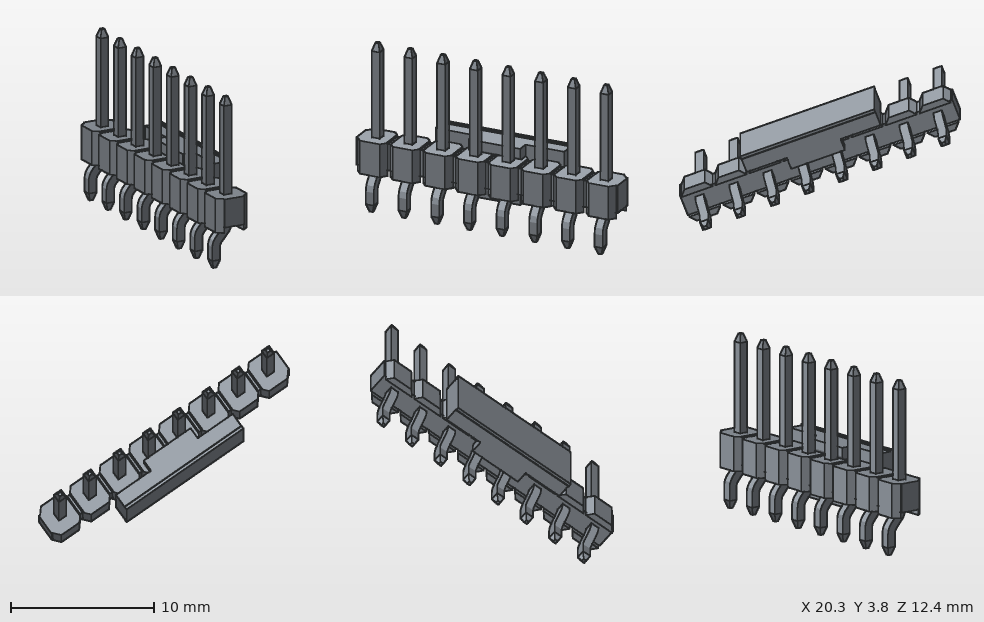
import cadquery as cq
import math

pin_count = 8
row_length = 20.32
pitch = row_length / pin_count
pin_positions = [(i - (pin_count - 1) / 2) * pitch for i in range(pin_count)]

tower_width = 2.34
housing_depth = 2.5
housing_height = 2.5
corner_length_x = 0.4
corner_length_y = 0.47
web_depth = housing_depth - 2 * corner_length_y
channel_height = 0.43
groove_top_width = 0.37
groove_floor_width = 0.2
groove_depth = 0.08

wire = 0.63
tip_length = 0.59
tip_end_width = 0.25
pin_top = housing_height + 7.1
pin_bottom = -2.8
leg_offset = (housing_depth - wire) / 2
bend_inner_radius = 0.5
bend_angle = 41.0
lower_bend_end = -1.25

cap_width = 10.0
cap_depth = 1.3
cap_height = 4.25
flange_height = 4.47
flange_thickness = 0.25
hook_width = 4.0
hook_reach = 0.87
hook_tip_radius = 0.25


def make_pin():
    """One pin centred on X = 0, bent towards -Y below the housing."""
    outer_radius = bend_inner_radius + wire
    angle = math.radians(bend_angle)
    half_angle = angle / 2
    bend_y = 1 - math.cos(angle)
    bend_z = math.sin(angle)
    slant_y = leg_offset - (bend_inner_radius + outer_radius) * bend_y
    slant_z = slant_y / math.tan(angle)

    half = wire / 2
    leg_y = -leg_offset
    lower_shoulder = pin_bottom + tip_length
    upper_shoulder = pin_top - tip_length
    upper_bend_start = (
        lower_bend_end + (bend_inner_radius + outer_radius) * bend_z + slant_z
    )

    def upper_bend(radius, turn):
        """Point on the upper bend, whose centre lies on the -Y side of the wire."""
        centre_y = -half - bend_inner_radius
        return (centre_y + radius * math.cos(turn), upper_bend_start - radius * math.sin(turn))

    def lower_bend(radius, turn):
        """Point on the lower bend, whose centre lies on the +Y side of the leg."""
        centre_y = leg_y + half + bend_inner_radius
        return (centre_y - radius * math.cos(turn), lower_bend_end + radius * math.sin(turn))

    shaft = (
        cq.Workplane("YZ")
        .moveTo(-half, upper_shoulder)
        .lineTo(*upper_bend(bend_inner_radius, 0))
        .threePointArc(upper_bend(bend_inner_radius, half_angle), upper_bend(bend_inner_radius, angle))
        .lineTo(*lower_bend(outer_radius, angle))
        .threePointArc(lower_bend(outer_radius, half_angle), lower_bend(outer_radius, 0))
        .lineTo(leg_y - half, lower_shoulder)
        .lineTo(leg_y + half, lower_shoulder)
        .lineTo(*lower_bend(bend_inner_radius, 0))
        .threePointArc(lower_bend(bend_inner_radius, half_angle), lower_bend(bend_inner_radius, angle))
        .lineTo(*upper_bend(outer_radius, angle))
        .threePointArc(upper_bend(outer_radius, half_angle), upper_bend(outer_radius, 0))
        .lineTo(half, upper_shoulder)
        .close()
        .extrude(half, both=True)
    )
    return shaft.union(tip(0, upper_shoulder, tip_length)).union(tip(leg_y, lower_shoulder, -tip_length))


def tip(y, shoulder_z, length):
    """Tapered square tip; a negative length points it downwards."""
    return (
        cq.Workplane("XY", origin=(0, y, shoulder_z))
        .rect(wire, wire)
        .workplane(offset=length)
        .rect(tip_end_width, tip_end_width)
        .loft(ruled=True)
    )


def make_housing():
    """Row of towers on a web, with a channel below and a square hole for every pin."""
    pin_points = [(x, 0) for x in pin_positions]
    body = cq.Workplane("XY").box(row_length, web_depth, housing_height, centered=(True, True, False))
    side_x = tower_width / 2
    face_y = housing_depth / 2
    flat_x = side_x - corner_length_x
    flat_y = face_y - corner_length_y
    tower = (
        cq.Workplane("XY")
        .polyline([
            (-flat_x, -face_y),
            (flat_x, -face_y),
            (side_x, -flat_y),
            (side_x, flat_y),
            (flat_x, face_y),
            (-flat_x, face_y),
            (-side_x, flat_y),
            (-side_x, -flat_y),
        ])
        .close()
        .extrude(housing_height)
    )
    for x in pin_positions:
        body = body.union(tower.translate((x, 0, 0)))

    channel = cq.Workplane("XY").box(row_length, web_depth, channel_height, centered=(True, True, False))
    body = body.cut(channel)

    groove = (
        cq.Workplane("XZ")
        .polyline([
            (-groove_top_width / 2, housing_height),
            (-groove_floor_width / 2, housing_height - groove_depth),
            (groove_floor_width / 2, housing_height - groove_depth),
            (groove_top_width / 2, housing_height),
        ])
        .close()
        .extrude(housing_depth / 2, both=True)
    )
    for x in pin_positions[:-1]:
        body = body.cut(groove.translate((x + pitch / 2, 0, 0)))

    holes = cq.Workplane("XY").pushPoints(pin_points).rect(wire, wire).extrude(housing_height)
    return body.cut(holes)


def make_cap():
    """Cap behind the housing, with one hook above it and one below."""
    housing_back = housing_depth / 2
    cap_back = housing_back + cap_depth
    mid_z = housing_height / 2
    block = cq.Workplane("XY").box(cap_width, cap_depth, cap_height)
    block = block.translate((0, housing_back + cap_depth / 2, mid_z))
    flange = cq.Workplane("XY").box(cap_width, flange_thickness, flange_height)
    flange = flange.translate((0, cap_back - flange_thickness / 2, mid_z))

    hook_height = (cap_height - housing_height) / 2
    upper_hook = (
        cq.Workplane("XY")
        .box(hook_width, hook_reach, hook_height)
        .edges("<Y and <Z")
        .fillet(hook_tip_radius)
        .translate((0, housing_back - hook_reach / 2, housing_height + hook_height / 2))
    )
    lower_hook = upper_hook.mirror("XY", (0, 0, mid_z))
    return block.union(flange).union(upper_hook).union(lower_hook)


housing = make_housing()
cap = make_cap()
pin = make_pin()
pins = [pin.translate((x, 0, 0)) for x in pin_positions]

result = cq.Compound.makeCompound([housing.val(), cap.val(), *[p.val() for p in pins]])